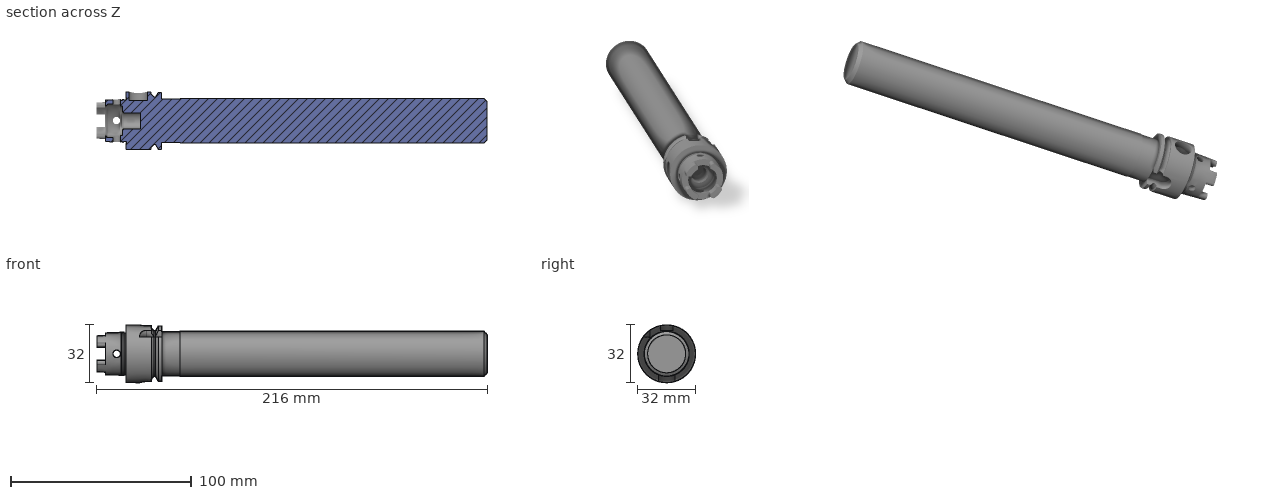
import cadquery as cq
import math

tip_x = -16.0
tooth_length = 4.7
tooth_gap = 7.0
tooth_edge_radius = 1.6
taper_front_radius = 11.4
taper_back_radius = 12.0
taper_back_x = -2.6
groove_width = 0.6
groove_radius = 11.5
ridge_end_x = -1.0
root_radius = 11.6
relief_radius = 12.8
relief_depth = 0.4

mouth_radius = 8.1
mouth_depth = 14.0
coolant_radius = 4.3
coolant_chamfer = 0.9
coolant_depth = 10.0
clamp_groove_radius = 9.1
clamp_groove_start = 5.0
clamp_groove_length = 8.0
cross_hole_radius = 2.0
cross_hole_x = -5.0

collar_radius = 16.0
collar_length = 20.0
vee_root_radius = 13.25
vee_front_x = 14.2
vee_shoulder_radius = 14.7
vee_root_start_x = 15.6
vee_root_end_x = 16.4
vee_back_x = 18.0
lip_radius = 15.9

slot_start_x = 7.6
upper_slot_width = 7.0
upper_slot_floor = 13.0
lower_slot_width = 9.0
lower_slot_floor = 9.5
notch_floor_z = 9.3
notch_wall_y = -9.3
notch_end_radius = 4.0
data_hole_radius = 5.0
data_hole_x = 7.0
data_hole_depth = 4.6

neck_radius = 12.25
neck_end_x = 30.0
shank_radius = 12.5
shank_end_x = 200.0
shank_chamfer = 2.0

match_tolerance = 0.01


def turned_body():
    """Outer form of the holder, revolved about X."""
    outline = [
        (tip_x, 0),
        (tip_x, taper_front_radius),
        (taper_back_x, taper_back_radius),
        (taper_back_x, groove_radius),
        (taper_back_x + groove_width, groove_radius),
        (taper_back_x + groove_width, taper_back_radius),
        (ridge_end_x, taper_back_radius),
        (ridge_end_x, root_radius),
        (relief_depth, root_radius),
        (relief_depth, relief_radius),
        (0, relief_radius),
        (0, collar_radius),
        (vee_front_x, collar_radius),
        (vee_front_x, vee_shoulder_radius),
        (vee_root_start_x, vee_root_radius),
        (vee_root_end_x, vee_root_radius),
        (vee_back_x, lip_radius),
        (collar_length, lip_radius),
        (collar_length, neck_radius),
        (neck_end_x, neck_radius),
        (neck_end_x, shank_radius),
        (shank_end_x - shank_chamfer, shank_radius),
        (shank_end_x, shank_radius - shank_chamfer),
        (shank_end_x, 0),
    ]
    return cq.Workplane("XZ").polyline(outline).close().revolve(360, (0, 0, 0), (1, 0, 0))


def bore():
    """Stepped bore from the tip, with the internal clamping groove and the blind coolant bore."""
    groove_x = tip_x + clamp_groove_start
    floor_x = tip_x + mouth_depth
    groove_step = clamp_groove_radius - mouth_radius
    outline = [
        (tip_x, 0),
        (tip_x, mouth_radius),
        (groove_x, mouth_radius),
        (groove_x + groove_step, clamp_groove_radius),
        (groove_x + clamp_groove_length, clamp_groove_radius),
        (groove_x + clamp_groove_length, mouth_radius),
        (floor_x, mouth_radius),
        (floor_x, coolant_radius + coolant_chamfer),
        (floor_x + coolant_chamfer, coolant_radius),
        (floor_x + coolant_depth, coolant_radius),
        (floor_x + coolant_depth, 0),
    ]
    return cq.Workplane("XZ").polyline(outline).close().revolve(360, (0, 0, 0), (1, 0, 0))


def cross_cut(direction):
    """One tooth gap and one radial hole, both right through along Y or Z."""
    span = 2 * collar_radius
    gap = cq.Workplane("XY").box(tooth_length, span, tooth_gap).translate((tip_x + tooth_length / 2, 0, 0))
    hole = cq.Workplane("XZ").center(cross_hole_x, 0).circle(cross_hole_radius).extrude(collar_radius, both=True)
    return gap.union(hole).rotate((0, 0, 0), (1, 0, 0), direction)


def drive_slot(width, floor):
    """Round-ended slot open at the back of the collar, cut from +Z."""
    half = width / 2
    height = collar_radius - floor
    centre_x = slot_start_x + half
    end = cq.Workplane("XY", origin=(centre_x, 0, floor)).circle(half).extrude(height)
    run = cq.Workplane("XY", origin=(centre_x, -half, floor))
    return end.union(run.rect(collar_length - centre_x, width, centered=False).extrude(height))


def orientation_notch():
    """Flat-floored notch in the -Y +Z corner, rounded at its front end."""
    height = collar_radius - notch_floor_z
    centre_x = slot_start_x + notch_end_radius
    centre_y = notch_wall_y - notch_end_radius
    end = cq.Workplane("XY", origin=(centre_x, centre_y, notch_floor_z)).circle(notch_end_radius).extrude(height)
    run = cq.Workplane("XY", origin=(centre_x, -collar_radius, notch_floor_z))
    length = collar_length - centre_x
    depth = collar_radius + notch_wall_y
    return end.union(run.rect(length, depth, centered=False).extrude(height))


def data_hole():
    """Blind hole in the +Y side of the collar."""
    mouth = cq.Workplane("XZ", origin=(data_hole_x, collar_radius, 0))
    return mouth.circle(data_hole_radius).extrude(data_hole_depth)


def round_tooth_edges(body):
    """Round the outer edges of the four teeth where they meet the gaps."""
    clear_of_bore = (mouth_radius + taper_front_radius) / 2
    half_gap = tooth_gap / 2
    edges = []
    for edge in body.edges().vals():
        middle = edge.Center()
        on_gap_wall = min(abs(abs(middle.y) - half_gap), abs(abs(middle.z) - half_gap)) < match_tolerance
        outside = math.hypot(middle.y, middle.z) > clear_of_bore
        along_tooth = tip_x + match_tolerance < middle.x < tip_x + tooth_length - match_tolerance
        if on_gap_wall and outside and along_tooth:
            edges.append(edge)
    return body.newObject(edges).fillet(tooth_edge_radius)


result = turned_body().cut(bore())
for direction in (0, 90):
    result = result.cut(cross_cut(direction))
result = round_tooth_edges(result)
result = result.cut(drive_slot(upper_slot_width, upper_slot_floor))
lower_slot = drive_slot(lower_slot_width, lower_slot_floor).rotate((0, 0, 0), (1, 0, 0), 180)
result = result.cut(lower_slot)
result = result.cut(orientation_notch())
result = result.cut(data_hole())